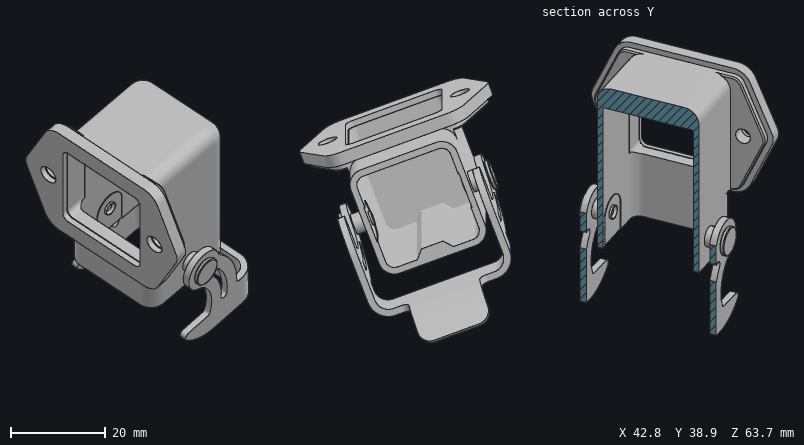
import cadquery as cq
import math


flange_width = 42.8
flange_height = 30.7
flange_thickness = 2.75
flange_side_angle = 24.4
flange_corner_radius = 4.45
flange_tip_radius = 3.5
step_inset = 1.35
step_back = 4.2
step_corner_radius = 2.5
step_tip_radius = 2.6
step_edge_chamfer = 0.3

hole_spacing = 29.95
hole_radius = 1.7
counterbore_radius = 2.1
recess_depth = 1.35

hood_width = 24.0
hood_back = 26.7
hood_top = flange_height / 2 - step_inset
hood_bottom = -26.3
wall = 1.45
hood_edge_radius = 3.5
hood_back_top_radius = 4.1

cavity_ceiling = 8.8
cavity_ceiling_fillet = 0.3
window_recess_size = 21.75
window_size = 21.35
window_depth = 6.7
window_corner_radius = 1.6
pad_base_width = 8.15
pad_top_width = 4.85
pad_slope = 49.0
pad_edge_radius = 0.3

pin_y = 14.7
pin_z = -19.8
pin_radius = 2.3
pin_head_radius = 3.25
pin_head_thickness = 0.95
pin_head_chamfer = 0.2
pin_end_radius = 1.5
pin_end_protrusion = 0.3
dimple_radius = 1.4
dimple_bore_radius = 0.8
dimple_bore_depth = 1.3
pin_seat_radius = 3.95
pin_seat_depth = 0.2
pin_end_face = hood_width / 2 - wall - pin_end_protrusion

lever_tilt = 2.0
strip_thickness = 1.6
lever_width = 32.1
lever_bend_radius = 4.65
lever_head_radius = 4.9
lever_back = 16.5
strap_top = -13.05
lever_bottom = -21.2
arm_centre_y = -7.15
arm_centre_z = -11.6
arm_inner_radius = 9.2
arm_outer_radius = 17.2
slot_width = 1.9
slot_start_angle = -7.5
slot_end_angle = 33.6
hook_top = -15.7
hook_tip_start = (-5.6, hook_top)
hook_tip_middle = (-6.5, -16.45)
hook_tip_end = (-6.4, -17.35)
hook_belly_radius = 12.3
head_blend_radius = 2.55
lever_corner_radius = 0.65

tab_width = 16.0
tab_bend_radius = 5.0
tab_bend_angle = 60.0
tab_straight = 4.9
tab_root_radius = 1.65
tab_corner_radius = 3.0


def box(x_range, y_range, z_range):
    size = [high - low for low, high in (x_range, y_range, z_range)]
    return cq.Workplane("XY").box(*size, centered=False).translate((x_range[0], y_range[0], z_range[0]))


def y_plane(y):
    """Sketch plane at the given Y, with local axes X and Z; extrude a negative length to go towards +Y."""
    return cq.Workplane("XZ", origin=(0, y, 0))


def fillet_along(solid, direction, points, radius):
    """Fillet the edges of one direction that lie nearest to the given points."""
    for point in points:
        nearest = cq.selectors.NearestToPointSelector(point)
        solid = solid.edges(direction).edges(nearest).fillet(radius)
    return solid


def rounded_hexagon(width, height, corner_radius, tip_radius, y_start, y_end):
    slope = math.radians(flange_side_angle)
    apex = width / 2 + tip_radius * (1 / math.cos(slope) - 1)
    top = height / 2
    corner = apex - top * math.tan(slope)
    outline = [(corner, top), (apex, 0), (corner, -top), (-corner, -top), (-apex, 0), (-corner, top)]
    plate = y_plane(y_start).polyline(outline).close().extrude(y_start - y_end)
    plate = plate.edges("|Y").edges(">X or <X").fillet(tip_radius)
    corners = [(sx * corner, y_start, sz * top) for sx in (-1, 1) for sz in (-1, 1)]
    return fillet_along(plate, "|Y", corners, corner_radius)


def make_flange():
    flange = rounded_hexagon(
        flange_width, flange_height, flange_corner_radius, flange_tip_radius, 0, flange_thickness
    )
    step = rounded_hexagon(
        flange_width - 2 * step_inset, flange_height - 2 * step_inset,
        step_corner_radius, step_tip_radius, flange_thickness, step_back,
    )
    return flange.union(step.faces(">Y").chamfer(step_edge_chamfer))


def make_hood():
    half = hood_width / 2
    step_bottom = -hood_top
    upper = box((-half, half), (flange_thickness, hood_back), (step_bottom, hood_top))
    upper = upper.edges(">Y and >Z").fillet(hood_back_top_radius)
    upper = upper.edges("(|Z and >Y) or (|Y and >Z)").fillet(hood_edge_radius)
    lower = box((-half, half), (flange_thickness, hood_back), (hood_bottom, step_bottom))
    return upper.union(lower.edges("|Z").fillet(hood_edge_radius))


def make_cavity():
    half = hood_width / 2 - wall
    back = hood_back - wall
    cavity = box((-half, half), (flange_thickness + wall, back), (hood_bottom, cavity_ceiling))
    cavity = cavity.edges("|Z").fillet(hood_edge_radius - wall)
    pad_height = (pad_base_width - pad_top_width) / 2 * math.tan(math.radians(pad_slope))
    pad = (
        cq.Workplane("XY", origin=(0, 0, hood_bottom))
        .moveTo(-pad_base_width / 2, back)
        .lineTo(-pad_top_width / 2, back - pad_height)
        .lineTo(pad_top_width / 2, back - pad_height)
        .lineTo(pad_base_width / 2, back)
        .close()
        .extrude(cavity_ceiling - hood_bottom)
    )
    cavity = cavity.cut(pad)
    pad_edges = [(s * pad_base_width / 2, back, 0) for s in (-1, 1)]
    pad_edges += [(s * pad_top_width / 2, back - pad_height, 0) for s in (-1, 1)]
    cavity = fillet_along(cavity, "|Z", pad_edges, pad_edge_radius)
    return cavity.faces(">Z").edges().fillet(cavity_ceiling_fillet)


def make_window():
    opening = y_plane(0).rect(window_size, window_size).extrude(-window_depth)
    recess = y_plane(0).rect(window_recess_size, window_recess_size).extrude(-recess_depth)
    return opening.edges("|Y").fillet(window_corner_radius).union(
        recess.edges("|Y").fillet(window_corner_radius)
    )


def make_mounting_holes():
    centres = [(-hole_spacing / 2, 0), (hole_spacing / 2, 0)]
    holes = y_plane(0).pushPoints(centres).circle(hole_radius).extrude(-step_back)
    counterbores = y_plane(0).pushPoints(centres).circle(counterbore_radius).extrude(-recess_depth)
    return holes.union(counterbores)


def x_cylinder(radius, x_start, x_end):
    """Cylinder on the pivot axis."""
    plane = cq.Workplane("YZ", origin=(x_start, pin_y, pin_z))
    return plane.circle(radius).extrude(x_end - x_start)


def make_pin():
    inner = hood_width / 2 - wall / 2
    outer = lever_width / 2
    shank = x_cylinder(pin_radius, inner, outer)
    head = x_cylinder(pin_head_radius, outer, outer + pin_head_thickness)
    end = x_cylinder(pin_end_radius, pin_end_face, inner)
    return shank.union(head.edges().chamfer(pin_head_chamfer)).union(end)


def make_pin_dimple():
    bore = x_cylinder(dimple_bore_radius, pin_end_face, pin_end_face + dimple_bore_depth)
    cone = cq.Solid.makeCone(
        dimple_radius, dimple_bore_radius, dimple_radius - dimple_bore_radius,
        pnt=cq.Vector(pin_end_face, pin_y, pin_z), dir=cq.Vector(1, 0, 0),
    )
    return bore.union(cq.Workplane(cone))


def make_pin_seat():
    """Shallow arched recess on the inside of the wall, open at the bottom."""
    face = hood_width / 2 - wall
    deep = face + pin_seat_depth
    seat = x_cylinder(pin_seat_radius, face, deep)
    leg = box(
        (face, deep), (pin_y - pin_seat_radius, pin_y + pin_seat_radius), (hood_bottom, pin_z)
    )
    return seat.union(leg)


def arm_point(radius, angle):
    return arm_centre_y + radius * math.cos(angle), arm_centre_z + radius * math.sin(angle)


def arm_point_at_height(radius, z):
    return arm_point(radius, math.asin((z - arm_centre_z) / radius))


def head_angle(radius):
    """Angle about the arm centre where an arm arc first meets the head circle."""
    distance = math.hypot(arm_centre_y, arm_centre_z)
    pivot_angle = math.atan2(-arm_centre_z, -arm_centre_y)
    cosine = (radius**2 + distance**2 - lever_head_radius**2) / (2 * radius * distance)
    return pivot_angle - math.acos(cosine)


def make_lever_side():
    outer_start = arm_point_at_height(arm_outer_radius, strap_top)
    inner_end = arm_point_at_height(arm_inner_radius, hook_top)
    outer_angle = head_angle(arm_outer_radius)
    inner_angle = head_angle(arm_inner_radius)
    outer_head = arm_point(arm_outer_radius, outer_angle)
    inner_head = arm_point(arm_inner_radius, inner_angle)
    distance = math.hypot(arm_centre_y, arm_centre_z)
    reach = lever_head_radius / distance
    head_far = (-arm_centre_y * reach, -arm_centre_z * reach)
    belly_start = hook_tip_end[0] + math.sqrt(
        hook_belly_radius**2 - (hook_belly_radius - hook_tip_end[1] + lever_bottom) ** 2
    )
    side = (
        cq.Workplane("YZ", origin=(-lever_width / 2, 0, 0))
        .moveTo(lever_back, lever_bottom)
        .lineTo(lever_back, strap_top)
        .lineTo(*outer_start)
        .threePointArc(arm_point(arm_outer_radius, outer_angle / 2), outer_head)
        .threePointArc(head_far, inner_head)
        .threePointArc(arm_point(arm_inner_radius, 0), inner_end)
        .lineTo(*hook_tip_start)
        .threePointArc(hook_tip_middle, hook_tip_end)
        .radiusArc((belly_start, lever_bottom), -hook_belly_radius)
        .close()
        .extrude(lever_width)
    )
    side = fillet_along(side, "|X", [(0, *outer_head), (0, *inner_head)], head_blend_radius)
    side = fillet_along(side, "|X", [(0, *outer_start), (0, *inner_end)], lever_corner_radius)
    return side.cut(make_lever_slot())


def make_lever_slot():
    start = math.radians(slot_start_angle)
    end = math.radians(slot_end_angle)
    middle = (start + end) / 2
    centre_radius = (arm_inner_radius + arm_outer_radius) / 2
    low = centre_radius - slot_width / 2
    high = centre_radius + slot_width / 2
    cap = slot_width / 2 / centre_radius
    return (
        cq.Workplane("YZ", origin=(-lever_width / 2, 0, 0))
        .moveTo(*arm_point(low, start))
        .threePointArc(arm_point(low, middle), arm_point(low, end))
        .threePointArc(arm_point(centre_radius, end + cap), arm_point(high, end))
        .threePointArc(arm_point(high, middle), arm_point(high, start))
        .threePointArc(arm_point(centre_radius, start - cap), arm_point(low, start))
        .close()
        .extrude(lever_width)
    )


def bent_strip():
    """U-shaped strip, open towards -Y, tall enough to hold the whole lever."""
    front = hook_tip_middle[0] - lever_head_radius
    height = (lever_bottom, lever_head_radius)
    half = lever_width / 2
    outside = box((-half, half), (front, lever_back), height)
    outside = outside.edges("|Z and >Y").fillet(lever_bend_radius)
    inner_half = half - strip_thickness
    inside = box((-inner_half, inner_half), (front, lever_back - strip_thickness), height)
    inside = inside.edges("|Z and >Y").fillet(lever_bend_radius - strip_thickness)
    return outside.cut(inside)


def make_tab():
    half = tab_width / 2
    flared_half = half + tab_root_radius
    inner_radius = tab_bend_radius
    outer_radius = tab_bend_radius + strip_thickness
    bend_y = lever_back + tab_bend_radius
    turn = math.radians(tab_bend_angle)

    def bend_point(radius, angle):
        return bend_y - radius * math.cos(angle), lever_bottom - radius * math.sin(angle)

    def end_point(radius):
        y, z = bend_point(radius, turn)
        return y + tab_straight * math.sin(turn), z - tab_straight * math.cos(turn)

    curl = (
        cq.Workplane("YZ", origin=(-flared_half, 0, 0))
        .moveTo(*bend_point(inner_radius, 0))
        .threePointArc(bend_point(inner_radius, turn / 2), bend_point(inner_radius, turn))
        .lineTo(*end_point(inner_radius))
        .lineTo(*end_point(outer_radius))
        .lineTo(*bend_point(outer_radius, turn))
        .threePointArc(bend_point(outer_radius, turn / 2), bend_point(outer_radius, 0))
        .close()
        .extrude(2 * flared_half)
    )
    end_y, end_z = end_point(inner_radius + strip_thickness / 2)
    for side in (-1, 1):
        margin = box(
            sorted((side * half, side * flared_half)),
            (lever_back - strip_thickness, end_y + strip_thickness),
            (2 * lever_bottom, lever_bottom - tab_root_radius),
        )
        root = y_plane(0).center(side * flared_half, lever_bottom - tab_root_radius)
        curl = curl.cut(margin).cut(root.circle(tab_root_radius).extrude(-end_y))
        corner = cq.selectors.NearestToPointSelector((side * half, end_y, end_z))
        curl = curl.edges(corner).fillet(tab_corner_radius)
    return curl


def make_lever():
    lever = make_lever_side().intersect(bent_strip()).union(make_tab())
    return lever.rotate((0, 0, 0), (1, 0, 0), lever_tilt).translate((0, pin_y, pin_z))


def both_sides(feature):
    return feature.union(feature.mirror("YZ"))


housing = make_flange().union(make_hood())
housing = housing.cut(make_cavity()).cut(make_window()).cut(make_mounting_holes())
housing = housing.cut(both_sides(make_pin_seat())).union(both_sides(make_pin()))
housing = housing.cut(both_sides(make_pin_dimple()))
result = housing.union(make_lever()).clean()